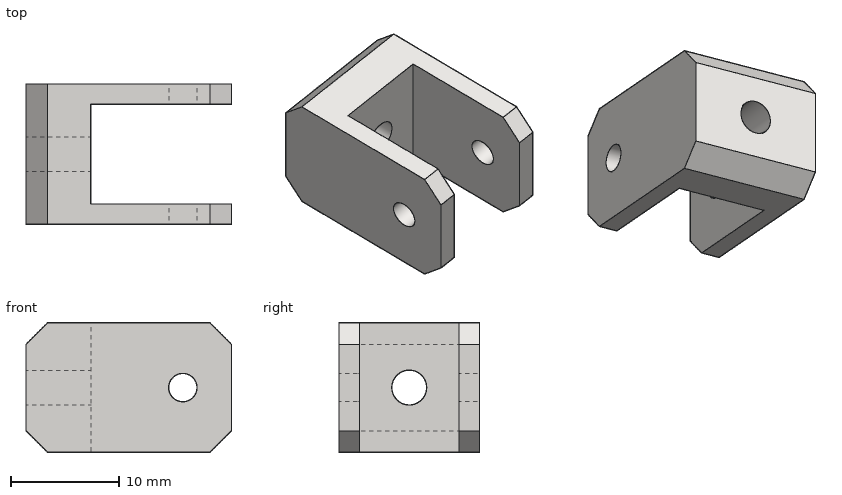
import cadquery as cq

length = 19.0
width = 13.0
height = 12.0

corner_chamfer = 2.0

base_thickness = 6.0
slot_width = 9.2
slot_length = length - base_thickness

pin_diameter = 2.6
pin_from_base_face = 14.5

mount_diameter = 3.2


def make_body():
    """Block with its base face on X = 0 and all four Y-direction edges at the ends chamfered."""
    block = cq.Workplane("XY").box(length, width, height, centered=(False, True, True))
    return block.edges("|Y").chamfer(corner_chamfer)


def make_slot():
    """Full-height slot that separates the arms."""
    slot = cq.Workplane("XY").box(slot_length, slot_width, height, centered=(False, True, True))
    return slot.translate((base_thickness, 0, 0))


def make_pin_hole():
    """Cylinder along Y that crosses both arms."""
    pin_plane = cq.Workplane("XZ").center(pin_from_base_face, 0)
    return pin_plane.circle(pin_diameter / 2).extrude(width / 2, both=True)


def make_mount_hole():
    """Cylinder along X that passes through the base into the slot."""
    return cq.Workplane("YZ").circle(mount_diameter / 2).extrude(base_thickness)


result = make_body().cut(make_slot()).cut(make_pin_hole()).cut(make_mount_hole())